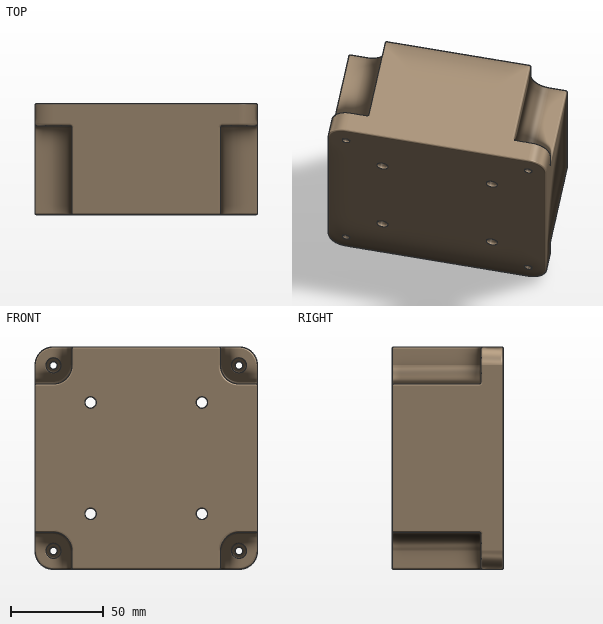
import cadquery as cq
import math

width = 120.0
depth = 60.0
edge_round = 1.0

ear_radius = width / 12
ear_thickness = 12.0
notch_size = 2 * ear_radius
notch_depth = depth - ear_thickness

screw_hole_diameter = 4.0
counterbore_diameter = 8.0
counterbore_depth = 6.0
screw_offset = width / 2 - ear_radius

face_hole_diameter = 6.0
face_hole_spacing = 60.0
face_hole_offset = face_hole_spacing / 2

hole_round = 0.5

half_width = width / 2
front_y = -depth / 2
ear_front_y = front_y + notch_depth
corner_signs = [(sign_x, sign_z) for sign_x in (-1, 1) for sign_z in (-1, 1)]


def make_notch(sign_x, sign_z):
    """Corner cutter in front of one ear, its inner edge rounded around the screw axis."""
    centre_offset = half_width - notch_size / 2
    inner_face = "<X" if sign_x > 0 else ">X"
    inner_edge = "<Z" if sign_z > 0 else ">Z"
    return (
        cq.Workplane("XY")
        .box(notch_size, notch_depth, notch_size)
        .faces(inner_face)
        .edges(inner_edge)
        .fillet(notch_size - ear_radius)
        .translate((sign_x * centre_offset, front_y + notch_depth / 2, sign_z * centre_offset))
    )


def edge_near(body, x, z):
    """The lengthwise edge of a notch whose midpoint is nearest to (x, z)."""
    middle = (x, front_y + notch_depth / 2, z)
    return body.edges("|Y").edges(cq.selectors.NearestToPointSelector(middle))


def make_body():
    """Notched block with all its edges rounded, both outside and at the foot of each notch."""
    body = cq.Workplane("XY").box(width, depth, width).edges("|Y").fillet(ear_radius)
    for sign_x, sign_z in corner_signs:
        body = body.cut(make_notch(sign_x, sign_z))

    rounded_edges = body.edges("not |Y")
    notch_side = half_width - notch_size
    for sign_x, sign_z in corner_signs:
        rounded_edges = rounded_edges.add(edge_near(body, sign_x * half_width, sign_z * notch_side))
        rounded_edges = rounded_edges.add(edge_near(body, sign_x * notch_side, sign_z * half_width))
    return rounded_edges.fillet(edge_round)


def make_bore(diameter, length):
    """Round cutter running from the origin toward +Y, its mouth flared to round the hole's rim."""
    radius = diameter / 2
    flare_inset = hole_round * math.sqrt(0.5)
    flare_middle = (radius + hole_round - flare_inset, hole_round - flare_inset)
    return (
        cq.Workplane("XY")
        .lineTo(radius + hole_round, 0)
        .threePointArc(flare_middle, (radius, hole_round))
        .lineTo(radius, length)
        .lineTo(0, length)
        .close()
        .revolve(360, (0, 0), (0, 1))
    )


def make_screw_bore():
    """Counterbore with a rounded foot, followed by the screw hole through its floor."""
    counterbore = make_bore(counterbore_diameter, counterbore_depth).faces(">Y").edges().fillet(hole_round)
    screw_hole = make_bore(screw_hole_diameter, ear_thickness - counterbore_depth)
    return counterbore.union(screw_hole.translate((0, counterbore_depth, 0)))


result = make_body()
screw_bore = make_screw_bore()
face_bore = make_bore(face_hole_diameter, depth)
for sign_x, sign_z in corner_signs:
    screw_position = (sign_x * screw_offset, ear_front_y, sign_z * screw_offset)
    face_hole_position = (sign_x * face_hole_offset, front_y, sign_z * face_hole_offset)
    result = result.cut(screw_bore.translate(screw_position))
    result = result.cut(face_bore.translate(face_hole_position))